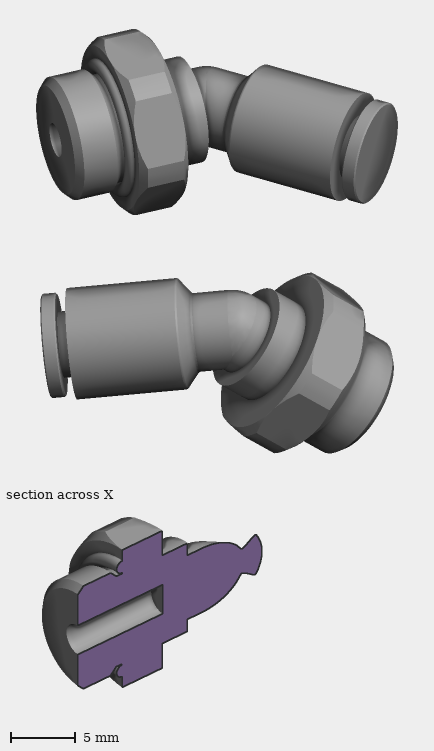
import cadquery as cq
import math

thread_radius = 4.87
thread_chamfer = 0.55
thread_top = 3.3
nut_bottom = 4.47
undercut_bottom = 3.88
undercut_radius = thread_radius - (undercut_bottom - thread_top)
bore_radius = 1.35

seal_radius = 5.48
seal_round = nut_bottom - undercut_bottom

nut_across_flats = 13.0
nut_corner_radius = 7.03
nut_chamfer = 0.53
nut_top = 8.5
collar_radius = 4.19
collar_top = 11.04

elbow_radius = 3.05
elbow_height = 12.4
branch_angle = 45.0
cone_start = 2.85
body_start = 3.85
body_end = 12.43
body_radius = 4.31
release_neck_radius = 2.55
cap_start = 13.27
cap_end = 14.4
cap_radius = 4.03
cap_chamfer = 0.1
cone_blend = 0.2


def cylinder(radius, start, end):
    """Solid cylinder around the Y axis between two Y positions."""
    return cq.Workplane("XZ", origin=(0, start, 0)).circle(radius).extrude(start - end)


def make_thread():
    profile = [
        (0, 0),
        (thread_radius - thread_chamfer, 0),
        (thread_radius, thread_chamfer),
        (thread_radius, thread_top),
        (undercut_radius, undercut_bottom),
        (undercut_radius, nut_bottom),
        (0, nut_bottom),
    ]
    return cq.Workplane("XY").polyline(profile).close().revolve(360, (0, 0), (0, 1))


def make_seal():
    """Ring of half-round section sitting on the underside of the nut."""
    centre_radius = seal_radius - seal_round
    profile = (
        cq.Workplane("XY")
        .moveTo(centre_radius - seal_round, nut_bottom)
        .threePointArc((centre_radius, undercut_bottom), (seal_radius, nut_bottom))
        .close()
    )
    return profile.revolve(360, (0, 0), (0, 1))


def make_nut():
    corner_diameter = nut_across_flats / math.cos(math.pi / 6)
    hexagon = cq.Workplane("XZ", origin=(0, nut_bottom, 0)).polygon(6, corner_diameter)
    hexagon = hexagon.extrude(nut_bottom - nut_top)
    turned_blank = cylinder(nut_corner_radius, nut_bottom, nut_top)
    return hexagon.intersect(turned_blank.edges().chamfer(nut_chamfer))


def make_branch():
    """Branch built along +Y from the origin, then tilted and moved to the elbow."""
    profile = [
        (0, 0),
        (elbow_radius, 0),
        (elbow_radius, cone_start),
        (body_radius, body_start),
        (body_radius, body_end),
        (release_neck_radius, body_end),
        (release_neck_radius, cap_start),
        (cap_radius - cap_chamfer, cap_start),
        (cap_radius, cap_start + cap_chamfer),
        (cap_radius, cap_end - cap_chamfer),
        (cap_radius - cap_chamfer, cap_end),
        (0, cap_end),
    ]
    branch = cq.Workplane("XY").polyline(profile).close().revolve(360, (0, 0), (0, 1))
    for blend_position in (cone_start, body_start):
        slab = cq.selectors.BoxSelector(
            (-body_radius, blend_position - cone_blend, -body_radius),
            (body_radius, blend_position + cone_blend, body_radius),
        )
        branch = branch.edges("%CIRCLE").edges(slab).fillet(cone_blend)
    branch = branch.rotate((0, 0, 0), (0, 0, 1), -branch_angle)
    return branch.translate((0, elbow_height, 0))


def make_elbow_corner():
    """Spherical wedge filling the outside of the bend between stem and branch."""
    half_disc = (
        cq.Workplane("XZ")
        .moveTo(0, -elbow_radius)
        .threePointArc((-elbow_radius, 0), (0, elbow_radius))
        .close()
    )
    wedge = half_disc.revolve(branch_angle, (0, elbow_radius), (0, -elbow_radius))
    return wedge.translate((0, elbow_height, 0))


collar = cylinder(collar_radius, nut_top, collar_top)
elbow_stem = cylinder(elbow_radius, collar_top, elbow_height)

result = make_thread().union(make_seal()).union(make_nut()).union(collar)
result = result.union(elbow_stem).union(make_branch()).union(make_elbow_corner())

result = result.cut(cylinder(bore_radius, 0, nut_top))